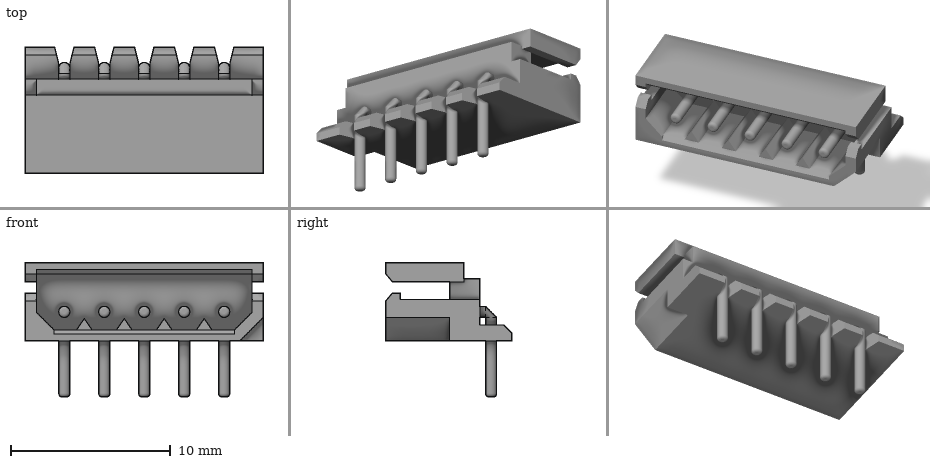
import cadquery as cq


pin_count = 5
pin_pitch = 2.5
pin_diameter = 0.7
pin_radius = pin_diameter / 2
tip_fillet = 0.2

housing_length = 14.9
housing_height = 4.9
half_length = housing_length / 2
wall = 0.7

cavity_depth = 4.0
cavity_half_width = half_length - wall
cavity_floor = wall
cavity_roof = housing_height - wall
floor_corner = 1.1
lead_in = 0.27

rear_wall_face = 5.9
rear_wall_top = 3.9
roof_rear = 4.9
ledge_rear = 7.9
ledge_height = 1.0
ledge_chamfer = 0.5

skirt_bottom = 3.7
side_wall_top = 2.6
catch_top = 3.0
catch_rear = 0.92
nose_run = 0.42
nose_rise = 0.5

rib_height = 0.7
rib_half_width = 0.48

key_chamfer = 1.48

pin_axis_z = 1.82
pin_leg_y = 6.6
pin_front = 0.53
pin_bottom = -3.5
bend_y = pin_leg_y - pin_radius
bend_z = pin_axis_z - pin_radius

notch_mouth_half_width = 0.6
notch_taper_start = 6.9

pin_positions = [(i - (pin_count - 1) / 2) * pin_pitch for i in range(pin_count)]
rib_positions = [x + pin_pitch / 2 for x in pin_positions[:-1]]


def along_x(points, half_width):
    """Extrude a (y, z) outline symmetrically about X = 0."""
    return cq.Workplane("YZ").polyline(points).close().extrude(half_width, both=True)


def along_y(points, y_start, y_end):
    """Extrude an (x, z) outline from y_start to y_end."""
    plane = cq.Workplane("XZ", origin=(0, y_start, 0))
    return plane.polyline(points).close().extrude(y_start - y_end)


def base_block():
    """Side walls, floor and rear ledge, with a catch at the front of each side wall."""
    return along_x([
        (0, 0),
        (ledge_rear, 0),
        (ledge_rear, ledge_height - ledge_chamfer),
        (ledge_rear - ledge_chamfer, ledge_height),
        (rear_wall_face, ledge_height),
        (rear_wall_face, side_wall_top),
        (catch_rear, side_wall_top),
        (catch_rear, catch_top),
        (nose_run, catch_top),
        (0, catch_top - nose_rise),
    ], half_length)


def roof_block():
    """Roof plate whose skirts hang down to the side slots."""
    return along_x([
        (0, skirt_bottom + nose_rise),
        (nose_run, skirt_bottom),
        (roof_rear, skirt_bottom),
        (roof_rear, housing_height),
        (0, housing_height),
    ], half_length)


def rear_wall():
    """Narrower wall that closes the cavity and carries the roof."""
    return along_x([
        (cavity_depth, 0),
        (rear_wall_face, 0),
        (rear_wall_face, rear_wall_top),
        (cavity_depth, rear_wall_top),
    ], cavity_half_width)


def cavity():
    floor_half_width = cavity_half_width - floor_corner
    shoulder = cavity_floor + floor_corner
    return along_y([
        (-floor_half_width, cavity_floor),
        (floor_half_width, cavity_floor),
        (cavity_half_width, shoulder),
        (cavity_half_width, cavity_roof),
        (-cavity_half_width, cavity_roof),
        (-cavity_half_width, shoulder),
    ], 0, cavity_depth)


def lead_in_cut(surface_z, direction, half_width):
    """Triangular cut along a cavity front edge; direction is +1 into the roof, -1 into the floor."""
    return along_x([
        (0, surface_z),
        (lead_in, surface_z),
        (0, surface_z + direction * lead_in),
    ], half_width)


def rib(x):
    return along_y([
        (x - rib_half_width, cavity_floor),
        (x + rib_half_width, cavity_floor),
        (x, cavity_floor + rib_height),
    ], lead_in, cavity_depth)


def key_cut():
    return along_y([
        (half_length - key_chamfer, 0),
        (half_length, 0),
        (half_length, key_chamfer),
    ], 0, cavity_depth)


def ledge_notch(x):
    """Round-ended slot around the leg that flares out to the rear."""
    outline = (
        cq.Workplane("XY")
        .moveTo(x - pin_radius, pin_leg_y)
        .threePointArc((x, bend_y), (x + pin_radius, pin_leg_y))
        .lineTo(x + pin_radius, notch_taper_start)
        .lineTo(x + notch_mouth_half_width, ledge_rear)
        .lineTo(x - notch_mouth_half_width, ledge_rear)
        .lineTo(x - pin_radius, notch_taper_start)
        .close()
    )
    return outline.extrude(ledge_height)


def pin_hole(x):
    start = cq.Workplane("XZ", origin=(x, cavity_depth, pin_axis_z))
    return start.circle(pin_radius).extrude(cavity_depth - rear_wall_face)


def build_housing():
    body = base_block().union(roof_block()).union(rear_wall())
    body = body.cut(cavity())
    body = body.cut(lead_in_cut(cavity_floor, -1, cavity_half_width - floor_corner))
    body = body.cut(lead_in_cut(cavity_roof, 1, cavity_half_width))
    body = body.cut(key_cut())
    for x in rib_positions:
        body = body.union(rib(x))
    for x in pin_positions:
        body = body.cut(ledge_notch(x)).cut(pin_hole(x))
    return body


def half_bend(x, side):
    """One half of the bend: half the leg circle swept forward and up at 45 degrees.

    The sweep is trimmed where it meets the contact; side is +1 or -1 along X.
    """
    half_circle = (
        cq.Workplane("XY", origin=(x, pin_leg_y, bend_z))
        .moveTo(0, -pin_radius)
        .threePointArc((side * pin_radius, 0), (0, pin_radius))
        .close()
    )
    leg_end = cq.Face.makeFromWires(half_circle.val())
    sweep = 2 * pin_diameter
    bar = cq.Solid.extrudeLinear(leg_end, cq.Vector(0, -sweep, sweep))
    corner = cq.Workplane("XY", origin=(x, bend_y, bend_z)).box(
        sweep, sweep, sweep, centered=(True, False, True)
    )
    return corner.intersect(cq.Workplane(bar))


def build_pin(x):
    leg = (
        cq.Workplane("XY", origin=(x, pin_leg_y, pin_bottom))
        .circle(pin_radius).extrude(bend_z - pin_bottom)
        .faces("<Z").edges().fillet(tip_fillet)
    )
    contact = (
        cq.Workplane("XZ", origin=(x, pin_front, pin_axis_z))
        .circle(pin_radius).extrude(pin_front - bend_y)
        .faces("<Y").edges().fillet(tip_fillet)
    )
    bend = half_bend(x, -1).union(half_bend(x, 1))
    return leg.union(bend).union(contact)


housing = build_housing()
pins = [build_pin(x) for x in pin_positions]
result = cq.Compound.makeCompound([
    *housing.solids().vals(),
    *[pin.solids().val() for pin in pins],
])